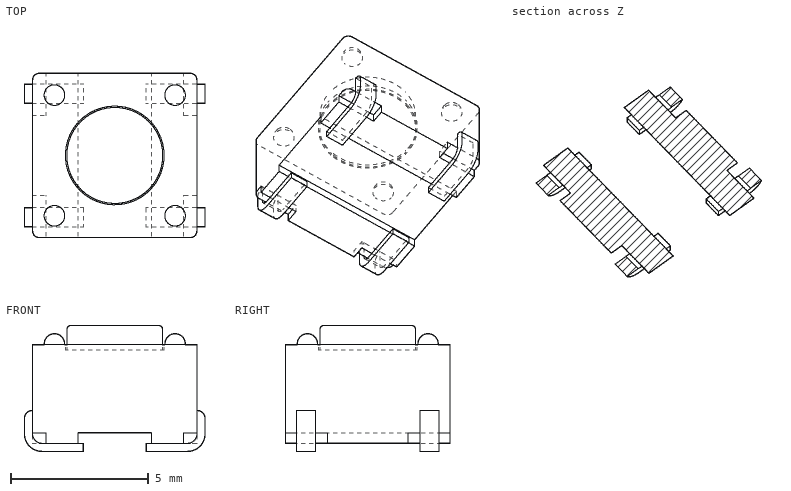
import cadquery as cq
import math

body_size = 6.0
body_corner_radius = 0.25
body_top = 3.9
lead_thickness = 0.3
body_bottom = lead_thickness
underside_step = 0.38
channel_width = 2.68
relief_depth = 0.5
relief_length = 1.54

button_diameter = 3.5
button_top = 4.6
button_edge_radius = 0.15
opening_diameter = 3.6
opening_depth = 0.2

rivet_diameter = 0.75
rivet_rim_height = 0.025
rivet_offset = 2.2

overall_width = body_size + 2 * lead_thickness
lead_width = 0.7
lead_offset = 2.25
lead_top = 1.5
lead_foot_end = 1.14
lead_inner_radius = 0.35
lead_outer_radius = lead_inner_radius + lead_thickness

corner_signs = [(sx, sy) for sx in (-1, 1) for sy in (-1, 1)]


def box(x_length, y_length, height, x, y, z_bottom):
    """Box centred on (x, y) and standing on z_bottom."""
    return (
        cq.Workplane("XY", origin=(x, y, z_bottom))
        .box(x_length, y_length, height, centered=(True, True, False))
    )


def make_housing():
    """Rounded block with a channel and four corner reliefs underneath."""
    housing = box(body_size, body_size, body_top - body_bottom, 0, 0, body_bottom)
    housing = housing.edges("|Z").fillet(body_corner_radius)
    housing = housing.cut(box(channel_width, body_size, underside_step, 0, 0, body_bottom))
    relief_x = (body_size - relief_depth) / 2
    relief_y = (body_size - relief_length) / 2
    for sx, sy in corner_signs:
        relief = box(
            relief_depth, relief_length, underside_step,
            sx * relief_x, sy * relief_y, body_bottom,
        )
        housing = housing.cut(relief)
    return housing


def make_button():
    """Round button with a rounded top edge, starting at the opening floor."""
    floor = body_top - opening_depth
    return (
        cq.Workplane("XY", origin=(0, 0, floor))
        .circle(button_diameter / 2)
        .extrude(button_top - floor)
        .faces(">Z").edges()
        .fillet(button_edge_radius)
    )


def make_opening():
    """Clearance opening around the button in the top face."""
    return (
        cq.Workplane("XY", origin=(0, 0, body_top))
        .circle(opening_diameter / 2)
        .extrude(-opening_depth)
    )


def make_rivet():
    """Hemispherical head on a thin cylindrical rim, on the Z axis."""
    radius = rivet_diameter / 2
    dome_base = body_top + rivet_rim_height
    mid = radius * math.sqrt(0.5)
    return (
        cq.Workplane("XZ")
        .moveTo(0, body_top)
        .lineTo(radius, body_top)
        .lineTo(radius, dome_base)
        .threePointArc((mid, dome_base + mid), (0, dome_base + radius))
        .close()
        .revolve(360, (0, 0, 0), (0, 1, 0))
    )


def make_lead():
    """Bent strip on the +X side, centred on the XZ plane."""
    inner_x = body_size / 2
    outer_x = overall_width / 2
    return (
        cq.Workplane("XZ")
        .moveTo(lead_foot_end, 0)
        .lineTo(outer_x - lead_outer_radius, 0)
        .radiusArc((outer_x, lead_outer_radius), -lead_outer_radius)
        .lineTo(outer_x, lead_top - lead_thickness)
        .radiusArc((inner_x, lead_top), -lead_thickness)
        .lineTo(inner_x, lead_thickness + lead_inner_radius)
        .radiusArc((inner_x - lead_inner_radius, lead_thickness), lead_inner_radius)
        .lineTo(lead_foot_end, lead_thickness)
        .close()
        .extrude(lead_width / 2, both=True)
    )


result = make_housing().cut(make_opening()).union(make_button())

rivet = make_rivet()
right_lead = make_lead()
left_lead = right_lead.mirror("YZ")
for sx, sy in corner_signs:
    lead = right_lead if sx > 0 else left_lead
    result = result.union(rivet.translate((sx * rivet_offset, sy * rivet_offset, 0)))
    result = result.union(lead.translate((0, sy * lead_offset, 0)))